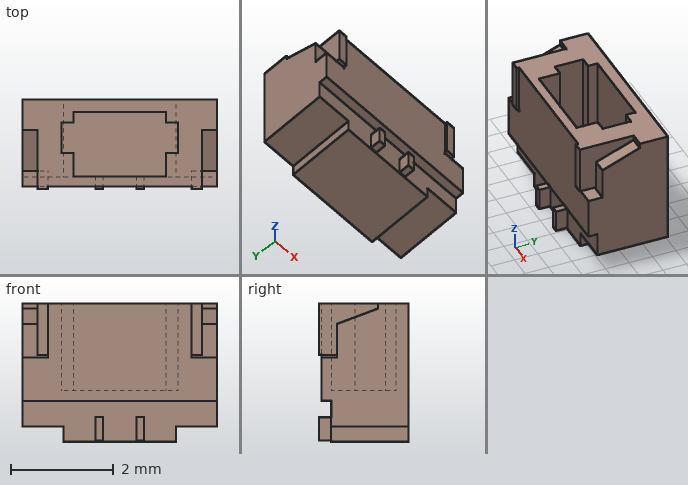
import cadquery as cq

WIDTH = 3.8
HEIGHT = 2.7
DEPTH = 1.7

FRONT_WALL = 0.2
STEP_HEIGHT = 0.8
STEP_RECESS = 0.19
STEP_FACE_DEPTH = DEPTH - STEP_RECESS
FOOT_HEIGHT = 0.3
FOOT_INSET = 0.8

CAVITY_WIDTH = 1.8
CAVITY_BACK = 0.25
CAVITY_FRONT = DEPTH - FRONT_WALL
LOBED_WIDTH = 2.28
LOBE_BACK = 0.45
LOBE_FRONT = 1.05
CAVITY_FLOOR = STEP_HEIGHT + FRONT_WALL

POCKET_WIDTH = 0.5
POCKET_BACK = 0.6
POCKET_SLOPE_FRONT = 1.4
POCKET_DROP_BACK = 0.1
POCKET_DROP_FRONT = 0.4
POCKET_DROP = 1.05

CLIP_WIDTH = 0.2
CLIP_HEIGHT = 1.0
PROUD = 0.05
CONTACT_FRONT = DEPTH + PROUD
TAIL_PITCH = 0.8
TAIL_WIDTH = 0.15
TAIL_BOTTOM = 0.025
TAIL_HEIGHT = 0.46


def block(width, back, front, bottom, top, x_center=0.0):
    """Box with its back and front given as distances from the back face."""
    size = (width, front - back, top - bottom)
    return cq.Workplane("XY").box(*size, centered=(True, False, False)).translate((x_center, -front, bottom))


def corner_profile(x_center, width, front, drop):
    """Plate with a sloping lower edge behind a deep front leg; used by both pocket and clip."""
    outline = [
        (-POCKET_BACK, HEIGHT),
        (-POCKET_BACK, HEIGHT - POCKET_DROP_BACK),
        (-POCKET_SLOPE_FRONT, HEIGHT - POCKET_DROP_FRONT),
        (-POCKET_SLOPE_FRONT, HEIGHT - drop),
        (-front, HEIGHT - drop),
        (-front, HEIGHT),
    ]
    plate = cq.Workplane("YZ").polyline(outline).close().extrude(width)
    return plate.translate((x_center - width / 2, 0, 0))


def make_housing():
    upper = block(WIDTH, 0, DEPTH, STEP_HEIGHT, HEIGHT)
    lower = block(WIDTH, 0, STEP_FACE_DEPTH, FOOT_HEIGHT, STEP_HEIGHT)
    foot = block(WIDTH - 2 * FOOT_INSET, 0, STEP_FACE_DEPTH, 0, FOOT_HEIGHT)
    return upper.union(lower).union(foot)


def make_cavity():
    main = block(CAVITY_WIDTH, CAVITY_BACK, CAVITY_FRONT, CAVITY_FLOOR, HEIGHT)
    lobes = block(LOBED_WIDTH, LOBE_BACK, LOBE_FRONT, CAVITY_FLOOR, HEIGHT)
    return main.union(lobes)


def make_tail(x_center):
    return block(TAIL_WIDTH, STEP_FACE_DEPTH, CONTACT_FRONT, TAIL_BOTTOM, TAIL_BOTTOM + TAIL_HEIGHT, x_center)


pocket_x = (WIDTH - POCKET_WIDTH) / 2
clip_x = WIDTH / 2 - POCKET_WIDTH + CLIP_WIDTH / 2

result = make_housing().cut(make_cavity())
for side in (-1, 1):
    result = result.cut(corner_profile(side * pocket_x, POCKET_WIDTH, DEPTH, POCKET_DROP))
    result = result.union(corner_profile(side * clip_x, CLIP_WIDTH, CONTACT_FRONT, CLIP_HEIGHT))
    result = result.union(make_tail(side * TAIL_PITCH / 2))